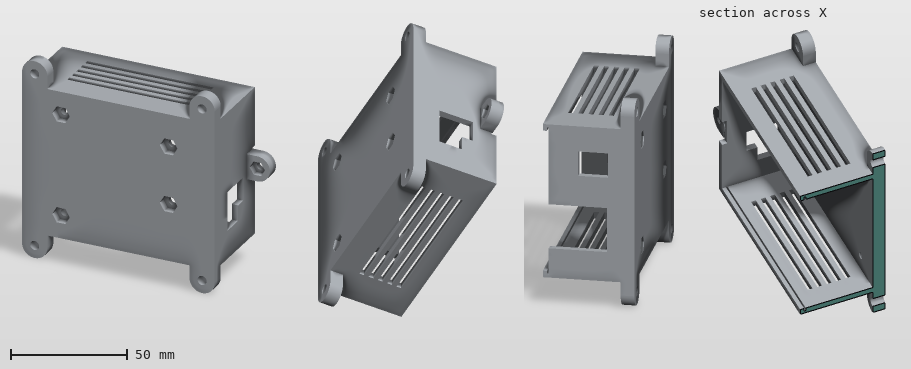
import cadquery as cq

BOX_X, BOX_Y, BOX_Z = 91.5, 40.0, 70.0
WALL = 3.0
BASE_THICK = 6.0

LID_SEAT_Y = 37.4
GROOVE_END_Y = 38.2
GROOVE_DEPTH = WALL / 2

EAR_R = 6.0
EAR_REACH = EAR_R
EAR_HOLE_D = 4.3

SCREW_D = 3.3
BOARD_NUT_D = 8.35
BOARD_NUT_DEPTH = 3.5
LEFT_SCREW_X, LEFT_SCREW_Z = 18.5, (10.9, 59.1)
RIGHT_SCREW_X, RIGHT_SCREW_Z = 69.6, (27.0, 54.5)

LUG_R = 6.0
LUG_X = BOX_X + 5.0
LUG_Z = 35.5
LUG_THICK = 6.0
LUG_END_Y = 38.0
LUG_START_Y = LUG_END_Y - LUG_THICK
LUG_NUT_D = 7.2
LUG_NUT_DEPTH = LUG_THICK / 2
NOTCH_FLOOR_Y = 37.6
NOTCH_Z = (28.7, 42.0)

SLOT_COUNT = 5
SLOT_LENGTH = 60.0
SLOT_WIDTH = 2.2
SLOT_PITCH = 4.45
FIRST_SLOT_Y = 12.0

WINDOW_Y, WINDOW_Z = (11.5, 24.6), (47.4, 58.5)
CUTOUT_Y, CUTOUT_Z = (11.9, BOX_Y), (13.4, 33.5)

PORT_START_Y = 12.6
UPPER_PORT_END_Y = 28.5
LOWER_PORT_END_Y = 23.4
PORT_TOP_Z = 31.9
PORT_STEP_Z = 20.8
PORT_BOTTOM_Z = CUTOUT_Z[0]

OVERCUT = 1.0
LEFT_WALL_X = (-OVERCUT, WALL)
RIGHT_WALL_X = (BOX_X - WALL, BOX_X + OVERCUT)


def block(x_range, y_range, z_range):
    """Box spanning the given coordinate ranges."""
    ranges = (x_range, y_range, z_range)
    sizes = [high - low for low, high in ranges]
    corner = tuple(low for low, high in ranges)
    return cq.Workplane("XY").box(*sizes, centered=False).translate(corner)


def cylinder_y(x, z, diameter, y_start, y_end):
    """Cylinder along +Y."""
    plane = cq.Workplane("XZ", origin=(x, y_start, z))
    return plane.circle(diameter / 2).extrude(y_start - y_end)


def hexagon_y(x, z, corner_diameter, y_start, y_end):
    """Hexagonal prism along +Y with two corners pointing along X."""
    plane = cq.Workplane("XZ", origin=(x, y_start, z))
    return plane.polygon(6, corner_diameter).extrude(y_start - y_end)


def make_box():
    body = block((0, BOX_X), (0, BOX_Y), (0, BOX_Z))
    cavity = block((WALL, BOX_X - WALL), (BASE_THICK, BOX_Y + OVERCUT), (WALL, BOX_Z - WALL))
    return body.cut(cavity)


def cut_lid_track(body):
    """Lower the -X wall to the lid seat and groove the top and bottom walls."""
    x_range = (-OVERCUT, BOX_X - WALL)
    groove = block(x_range, (LID_SEAT_Y, GROOVE_END_Y), (GROOVE_DEPTH, BOX_Z - GROOVE_DEPTH))
    entry = block(LEFT_WALL_X, (LID_SEAT_Y, BOX_Y + OVERCUT), (WALL, BOX_Z - WALL))
    return body.cut(groove).cut(entry)


def add_ears(body):
    for x in (EAR_R, BOX_X - EAR_R):
        x_range = (x - EAR_R, x + EAR_R)
        for hole_z, neck_z in (
            (-EAR_REACH, (-EAR_REACH, 0)),
            (BOX_Z + EAR_REACH, (BOX_Z, BOX_Z + EAR_REACH)),
        ):
            neck = block(x_range, (0, BASE_THICK), neck_z)
            tip = cylinder_y(x, hole_z, 2 * EAR_R, 0, BASE_THICK)
            hole = cylinder_y(x, hole_z, EAR_HOLE_D, 0, BASE_THICK)
            body = body.union(neck).union(tip).cut(hole)
    return body


def add_lid_lug(body):
    neck = block((BOX_X, LUG_X), (LUG_START_Y, LUG_END_Y), (LUG_Z - LUG_R, LUG_Z + LUG_R))
    tip = cylinder_y(LUG_X, LUG_Z, 2 * LUG_R, LUG_START_Y, LUG_END_Y)
    screw_hole = cylinder_y(LUG_X, LUG_Z, SCREW_D, LUG_START_Y, LUG_END_Y)
    nut_trap = hexagon_y(LUG_X, LUG_Z, LUG_NUT_D, LUG_START_Y, LUG_START_Y + LUG_NUT_DEPTH)
    return body.union(neck).union(tip).cut(screw_hole).cut(nut_trap)


def cut_lid_notch(body):
    return body.cut(block(RIGHT_WALL_X, (NOTCH_FLOOR_Y, BOX_Y + OVERCUT), NOTCH_Z))


def cut_board_screws(body):
    for x, heights in ((LEFT_SCREW_X, LEFT_SCREW_Z), (RIGHT_SCREW_X, RIGHT_SCREW_Z)):
        for z in heights:
            screw_hole = cylinder_y(x, z, SCREW_D, 0, BASE_THICK)
            nut_trap = hexagon_y(x, z, BOARD_NUT_D, 0, BOARD_NUT_DEPTH)
            body = body.cut(screw_hole).cut(nut_trap)
    return body


def cut_vents(body):
    x_start = (BOX_X - SLOT_LENGTH) / 2
    x_range = (x_start, x_start + SLOT_LENGTH)
    for i in range(SLOT_COUNT):
        y = FIRST_SLOT_Y + i * SLOT_PITCH
        body = body.cut(block(x_range, (y, y + SLOT_WIDTH), (-OVERCUT, BOX_Z + OVERCUT)))
    return body


def cut_left_openings(body):
    window = block(LEFT_WALL_X, WINDOW_Y, WINDOW_Z)
    cutout = block(LEFT_WALL_X, CUTOUT_Y, CUTOUT_Z)
    return body.cut(window).cut(cutout)


def cut_right_port(body):
    upper = block(RIGHT_WALL_X, (PORT_START_Y, UPPER_PORT_END_Y), (PORT_STEP_Z, PORT_TOP_Z))
    lower = block(RIGHT_WALL_X, (PORT_START_Y, LOWER_PORT_END_Y), (PORT_BOTTOM_Z, PORT_STEP_Z))
    return body.cut(upper).cut(lower)


result = make_box()
result = cut_lid_track(result)
result = add_ears(result)
result = cut_lid_notch(result)
result = add_lid_lug(result)
result = cut_board_screws(result)
result = cut_vents(result)
result = cut_left_openings(result)
result = cut_right_port(result)